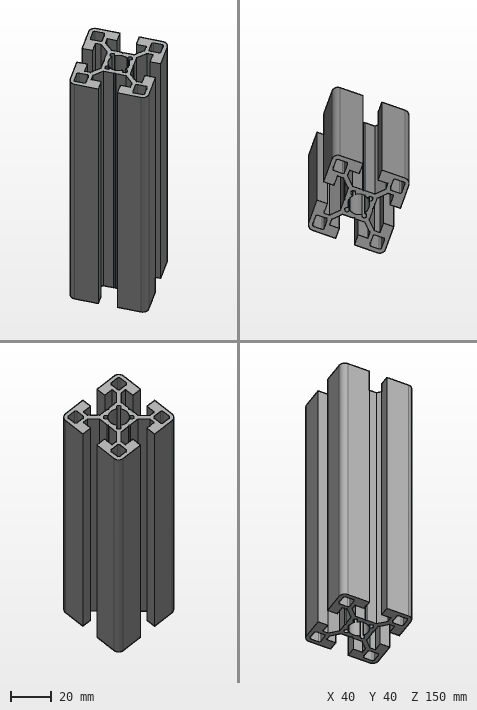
import cadquery as cq
import math

length = 150.0
side = 40.0
corner_radius = 3.2

slot_opening = 9.8
lip_thickness = 5.4
slot_inner_width = 20.0
core_width = 15.0
web_thickness = 2.4

groove_width = 1.4
groove_depth = 0.3

channel_width = 6.0
channel_wall = 2.1
channel_radius = 0.9

bore_diameter = 10.5
relief_diameter = 2.2
relief_offset = 4.5
neck_width = 1.5

half_side = side / 2
half_opening = slot_opening / 2
half_inner = slot_inner_width / 2
half_core = core_width / 2
half_groove = groove_width / 2
lip_inner = half_side - lip_thickness

web_shift = web_thickness / math.sqrt(2)
wall_top = half_inner + web_shift
floor_end = half_core - web_shift


def make_slot():
    """T-slot with tapered sides and a grooved floor, opening toward +Y."""
    right_half = [
        (half_opening, half_side),
        (half_opening, lip_inner),
        (half_inner, lip_inner),
        (half_inner, wall_top),
        (floor_end, half_core),
        (half_groove, half_core),
    ]
    groove_bottom = (0, half_core - groove_depth)
    left_half = [(-x, y) for x, y in reversed(right_half)]
    outline = right_half + [groove_bottom] + left_half
    return cq.Workplane("XY").polyline(outline).close().extrude(length)


def make_corner_channels():
    """Four square channels with rounded edges."""
    spacing = side - 2 * channel_wall - channel_width
    return (
        cq.Workplane("XY")
        .rect(spacing, spacing, forConstruction=True)
        .vertices()
        .rect(channel_width, channel_width)
        .extrude(length)
        .edges("|Z")
        .fillet(channel_radius)
    )


def make_bore():
    """Central bore joined to its four diagonal relief holes by narrow necks."""
    bore = cq.Workplane("XY").circle(bore_diameter / 2).extrude(length)
    reliefs = (
        cq.Workplane("XY")
        .rect(2 * relief_offset, 2 * relief_offset, forConstruction=True)
        .vertices()
        .circle(relief_diameter / 2)
        .extrude(length)
    )
    bore = bore.union(reliefs)
    strip_length = 2 * math.sqrt(2) * relief_offset
    for angle in (45, -45):
        strip = cq.Workplane("XY").rect(strip_length, neck_width).extrude(length)
        bore = bore.union(strip.rotate((0, 0, 0), (0, 0, 1), angle))
    return bore


bar = cq.Workplane("XY").rect(side, side).extrude(length)
bar = bar.edges("|Z").fillet(corner_radius)

slot = make_slot()
for quarter_turn in range(4):
    bar = bar.cut(slot.rotate((0, 0, 0), (0, 0, 1), 90 * quarter_turn))

result = bar.cut(make_corner_channels()).cut(make_bore())